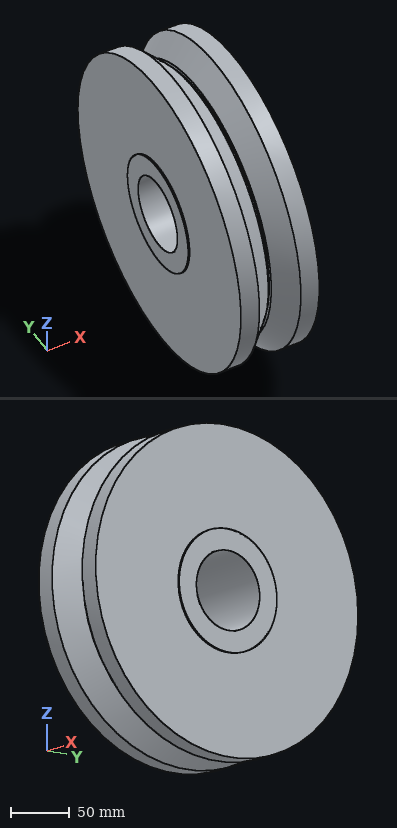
import cadquery as cq

wheel_diameter = 290.0
rim_width = 76.0
hub_width = 79.0
hub_diameter = 108.0
bore_diameter = 70.0

groove_mouth_width = 40.0
relief_width = 3.0
groove_bottom_diameter = wheel_diameter - (groove_mouth_width - relief_width)
relief_diameter = 246.0


def disc(diameter, width):
    """Cylinder along X, centred on the origin."""
    return cq.Workplane("YZ").circle(diameter / 2).extrude(width / 2, both=True)


def groove_cutter():
    """Ring with the groove section, revolved about the X axis."""
    wheel_radius = wheel_diameter / 2
    groove_bottom_radius = groove_bottom_diameter / 2
    relief_radius = relief_diameter / 2
    section = (
        cq.Workplane("XY")
        .moveTo(-groove_mouth_width / 2, wheel_radius)
        .lineTo(-relief_width / 2, groove_bottom_radius)
        .lineTo(-relief_width / 2, relief_radius)
        .lineTo(relief_width / 2, relief_radius)
        .lineTo(relief_width / 2, groove_bottom_radius)
        .lineTo(groove_mouth_width / 2, wheel_radius)
        .close()
    )
    return section.revolve(360, (0, 0, 0), (1, 0, 0))


wheel = disc(wheel_diameter, rim_width).cut(groove_cutter())
hub = disc(hub_diameter, hub_width)
bore = disc(bore_diameter, hub_width)

result = wheel.union(hub).cut(bore)